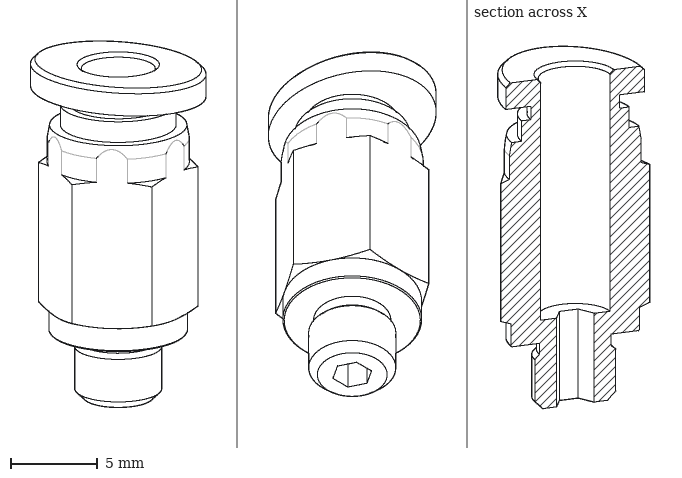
import cadquery as cq
import math

across_flats = 8.0
flat_radius = across_flats / 2
corner_radius = flat_radius / math.cos(math.pi / 6)
hex_bottom_z = 5.4
hex_top_z = 14.23
hex_bevel_angle = math.radians(20)

stem_radius = 2.51
stem_top_z = 3.08
stem_chamfer = 0.5
relief_radius = 2.23

collar_bottom_z = 4.0
collar_chamfer = 0.08

rim_radius = 4.1
rim_top_radius = 3.95
rim_taper_z = 15.68
rim_top_z = 16.46

sleeve_radius = 3.34
sleeve_top_z = 17.7
neck_radius = 2.77
button_length = 10.8
button_width = 8.6
button_bottom_z = 18.5
button_chamfer = 0.26
total_height = 20.1

bore_radius = 2.13
bore_chamfer = 0.25
bore_floor_z = 5.43
key_across_flats = 2.0


def hexagon(flats, bottom_z, top_z):
    """Hexagonal prism with two corners on the Y axis."""
    corner_diameter = flats / math.cos(math.pi / 6)
    prism = cq.Workplane("XY").polygon(6, corner_diameter).extrude(top_z - bottom_z)
    return prism.rotate((0, 0, 0), (0, 0, 1), 90).translate((0, 0, bottom_z))


def revolved(profile):
    """Solid turned about Z from (radius, z) points, closed along the axis."""
    bottom_z = profile[0][1]
    top_z = profile[-1][1]
    points = [(0, bottom_z)] + profile + [(0, top_z)]
    return cq.Workplane("XZ").polyline(points).close().revolve(360, (0, 0, 0), (0, 1, 0))


def make_stem():
    """Chamfered stem, its relief groove and the seating collar."""
    return revolved([
        (stem_radius - stem_chamfer, 0),
        (stem_radius, stem_chamfer),
        (stem_radius, stem_top_z),
        (relief_radius, stem_top_z + stem_radius - relief_radius),
        (relief_radius, collar_bottom_z),
        (flat_radius - collar_chamfer, collar_bottom_z),
        (flat_radius, collar_bottom_z + collar_chamfer),
        (flat_radius, hex_bottom_z),
    ])


def make_hex_body():
    """Hexagon with beveled corners, and the rim whose sides are cut flush with its flats."""
    bevel_slope = math.tan(hex_bevel_angle)
    lower_bevel = (corner_radius - flat_radius) * bevel_slope
    upper_bevel = (corner_radius - rim_radius) * bevel_slope
    turned_blank = revolved([
        (flat_radius, hex_bottom_z),
        (corner_radius, hex_bottom_z + lower_bevel),
        (corner_radius, hex_top_z - upper_bevel),
        (rim_radius, hex_top_z),
        (rim_radius, rim_taper_z),
        (rim_top_radius, rim_top_z),
    ])
    return turned_blank.intersect(hexagon(across_flats, hex_bottom_z, rim_top_z))


def make_sleeve():
    """Sleeve and the narrower neck that carries the button."""
    return revolved([
        (sleeve_radius, rim_top_z),
        (sleeve_radius, sleeve_top_z),
        (neck_radius, sleeve_top_z),
        (neck_radius, button_bottom_z),
    ])


def make_button():
    """Elliptical release button with a chamfered top edge."""
    return (
        cq.Workplane("XY", origin=(0, 0, button_bottom_z))
        .ellipse(button_length / 2, button_width / 2)
        .extrude(total_height - button_bottom_z)
        .faces(">Z")
        .chamfer(button_chamfer)
    )


def make_bore():
    """Blind tube bore with a chamfered mouth."""
    return revolved([
        (bore_radius, bore_floor_z),
        (bore_radius, total_height - bore_chamfer),
        (bore_radius + bore_chamfer, total_height),
    ])


body = make_stem().union(make_hex_body()).union(make_sleeve()).union(make_button())
result = body.cut(make_bore()).cut(hexagon(key_across_flats, 0, bore_floor_z))